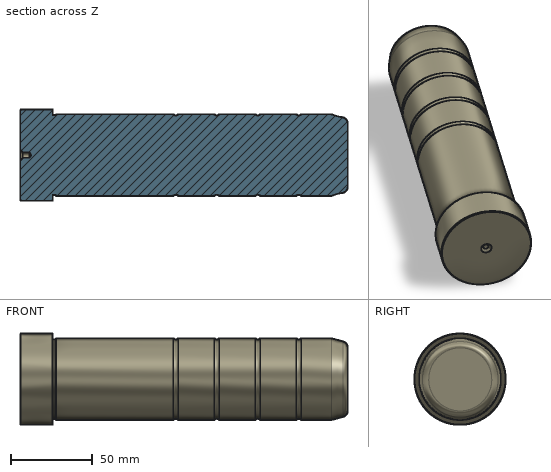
import cadquery as cq
import math

total_length = 200.0
head_diameter = 56.0
head_length = 20.0
head_front_chamfer = 0.5
head_rear_chamfer = 0.3
shaft_diameter = 50.0

neck_diameter = 49.0
neck_length = 1.5
neck_slope_length = (shaft_diameter - neck_diameter) / 2

groove_count = 4
first_groove_center = 95.0
groove_pitch = 25.0
groove_width = 3.0
groove_section_radius = 2.0

taper_start = 190.0
taper_angle = 15.0
nose_radius = 4.0

center_hole_mouth_diameter = 6.5
center_hole_diameter = 3.15
center_hole_cone_angle = 90.0
center_hole_pilot_depth = 4.0
drill_point_angle = 120.0

head_radius = head_diameter / 2
shaft_radius = shaft_diameter / 2


def revolve_about_x(profile):
    """Turn a closed XZ profile one full revolution about the X axis."""
    return profile.revolve(360, (0, 0, 0), (1, 0, 0))


def make_body():
    """Turned blank: chamfered head, relief neck, shaft, taper and rounded nose."""
    neck_radius = neck_diameter / 2
    neck_end = head_length + neck_length
    shaft_start = neck_end + neck_slope_length

    taper = math.radians(taper_angle)
    taper_end = total_length - nose_radius * (1 - math.sin(taper))
    taper_end_radius = shaft_radius - (taper_end - taper_start) * math.tan(taper)
    end_face_radius = taper_end_radius - nose_radius * math.cos(taper)

    profile = (
        cq.Workplane("XZ")
        .lineTo(0, head_radius - head_front_chamfer)
        .lineTo(head_front_chamfer, head_radius)
        .lineTo(head_length - head_rear_chamfer, head_radius)
        .lineTo(head_length, head_radius - head_rear_chamfer)
        .lineTo(head_length, neck_radius)
        .lineTo(neck_end, neck_radius)
        .lineTo(shaft_start, shaft_radius)
        .lineTo(taper_start, shaft_radius)
        .lineTo(taper_end, taper_end_radius)
        .tangentArcPoint((total_length, end_face_radius), relative=False)
        .lineTo(total_length, 0)
        .close()
    )
    return revolve_about_x(profile)


def make_groove(center_x):
    """Ring with a circular-arc section, as wide as the groove at the shaft surface."""
    half_width = groove_width / 2
    groove_depth = groove_section_radius - math.sqrt(groove_section_radius**2 - half_width**2)
    profile = (
        cq.Workplane("XZ")
        .moveTo(center_x - half_width, shaft_radius)
        .threePointArc(
            (center_x, shaft_radius - groove_depth),
            (center_x + half_width, shaft_radius),
        )
        .lineTo(center_x + half_width, head_radius)
        .lineTo(center_x - half_width, head_radius)
        .close()
    )
    return revolve_about_x(profile)


def make_center_hole():
    """Countersunk centre hole with a conical drill point."""
    mouth_radius = center_hole_mouth_diameter / 2
    pilot_radius = center_hole_diameter / 2
    cone_depth = (mouth_radius - pilot_radius) / math.tan(math.radians(center_hole_cone_angle / 2))
    pilot_end = cone_depth + center_hole_pilot_depth
    tip_depth = pilot_end + pilot_radius / math.tan(math.radians(drill_point_angle / 2))
    profile = (
        cq.Workplane("XZ")
        .lineTo(0, mouth_radius)
        .lineTo(cone_depth, pilot_radius)
        .lineTo(pilot_end, pilot_radius)
        .lineTo(tip_depth, 0)
        .close()
    )
    return revolve_about_x(profile)


result = make_body().cut(make_center_hole())
for index in range(groove_count):
    result = result.cut(make_groove(first_groove_center + index * groove_pitch))